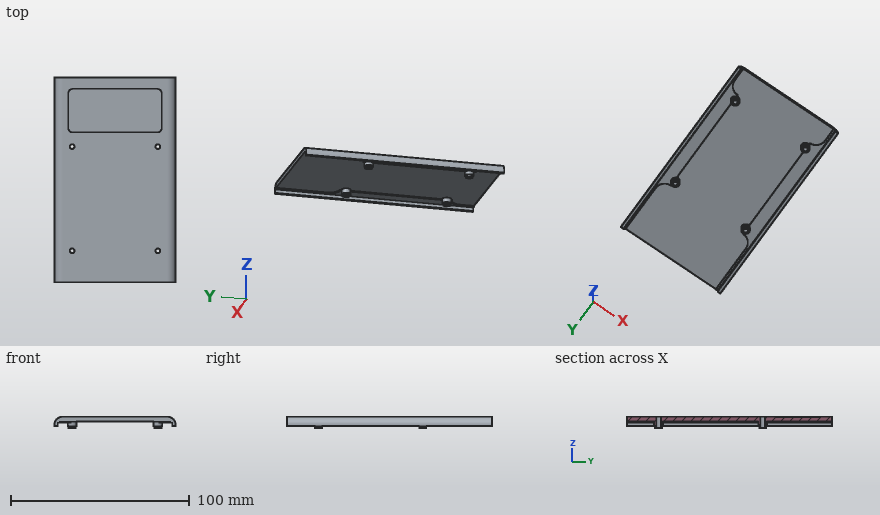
import cadquery as cq

length = 114.9
width = 68.0
edge_radius = 4.7
rim_depth = 5.4
plate_thickness = 2.8
rim_wall = 2.0
ledge_width = 1.1
ledge_depth = 3.5

label_width = 52.4
label_length = 24.4
label_corner = 2.5
label_margin = 6.5
label_depth = 0.2

standoff_spacing_x = 48.0
standoff_y_positions = (-39.8, 18.6)
standoff_diameter = 5.0
standoff_shoulder = 5.4
tip_diameter = 4.1
tip_depth = 6.4
hole_diameter = 2.5

strip_flare = 6.2
strip_end_gap = 3.3


def make_shell():
    """Extrude the cross-section of the plate and its two rounded rims."""
    outer = width / 2
    inner = outer - rim_wall
    ledge = inner - ledge_width
    flat = outer - edge_radius
    diagonal = edge_radius * 0.5**0.5
    profile = (
        cq.Workplane("XZ", origin=(0, length / 2, 0))
        .moveTo(-flat, 0)
        .lineTo(flat, 0)
        .threePointArc((flat + diagonal, diagonal - edge_radius), (outer, -edge_radius))
        .lineTo(outer, -rim_depth)
        .lineTo(inner, -rim_depth)
        .lineTo(inner, -ledge_depth)
        .lineTo(ledge, -ledge_depth)
        .lineTo(ledge, -plate_thickness)
        .lineTo(-ledge, -plate_thickness)
        .lineTo(-ledge, -ledge_depth)
        .lineTo(-inner, -ledge_depth)
        .lineTo(-inner, -rim_depth)
        .lineTo(-outer, -rim_depth)
        .lineTo(-outer, -edge_radius)
        .threePointArc((-flat - diagonal, diagonal - edge_radius), (-flat, 0))
        .close()
    )
    return profile.extrude(length)


def make_posts(points, diameter, depth):
    """Round posts reaching down to a depth, rooted halfway into the plate."""
    root = plate_thickness / 2
    return (
        cq.Workplane("XY", origin=(0, 0, -root))
        .pushPoints(points)
        .circle(diameter / 2)
        .extrude(root - depth)
    )


def make_strip(side):
    """Ledge widening beside the standoffs; side is 1 for +X and -1 for -X."""
    root = plate_thickness / 2
    wall_x = width / 2 - rim_wall - ledge_width / 2
    ledge_x = width / 2 - rim_wall - ledge_width
    tip_x = ledge_x - strip_flare
    front = min(standoff_y_positions) - strip_end_gap
    back = max(standoff_y_positions) + strip_end_gap
    sagitta = strip_flare * (1 - 0.5**0.5)
    arc_x = ledge_x - sagitta
    return (
        cq.Workplane("XY", origin=(0, 0, -root))
        .moveTo(side * wall_x, front - strip_flare)
        .lineTo(side * ledge_x, front - strip_flare)
        .threePointArc((side * arc_x, front - sagitta), (side * tip_x, front))
        .lineTo(side * tip_x, back)
        .threePointArc((side * arc_x, back + sagitta), (side * ledge_x, back + strip_flare))
        .lineTo(side * wall_x, back + strip_flare)
        .close()
        .extrude(root - ledge_depth)
    )


def make_label_recess():
    center_y = length / 2 - label_margin - label_length / 2
    return (
        cq.Workplane("XY", origin=(0, center_y, 0))
        .rect(label_width, label_length)
        .extrude(-label_depth)
        .edges("|Z")
        .fillet(label_corner)
    )


standoff_points = [
    (side * standoff_spacing_x / 2, y) for side in (-1, 1) for y in standoff_y_positions
]
holes = (
    cq.Workplane("XY").pushPoints(standoff_points).circle(hole_diameter / 2).extrude(-tip_depth)
)

result = (
    make_shell()
    .union(make_strip(1))
    .union(make_strip(-1))
    .union(make_posts(standoff_points, standoff_diameter, standoff_shoulder))
    .union(make_posts(standoff_points, tip_diameter, tip_depth))
    .cut(make_label_recess())
    .cut(holes)
)